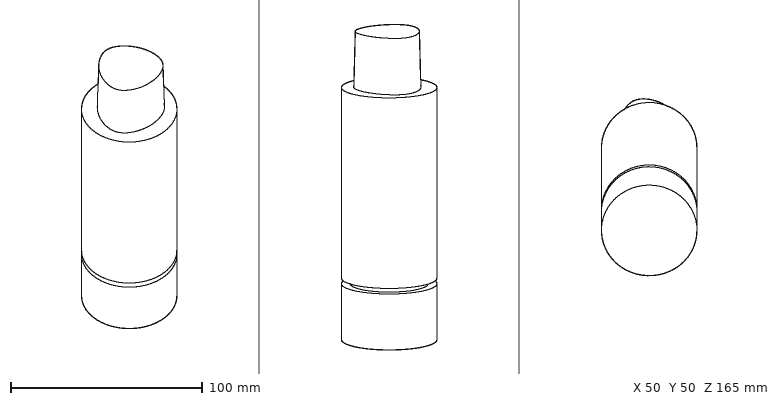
import cadquery as cq
import math

TOTAL_LENGTH = 165.0
BODY_DIAMETER = 50.0
CAP_HEIGHT = 30.0
GROOVE_WIDTH = 3.0
NECK_DIAMETER = 41.0

SHANK_LENGTH = 30.0
SHANK_BASE_WIDTH = 35.1
SHANK_TAPER = 1 / 20
SHANK_TOP_WIDTH = SHANK_BASE_WIDTH - SHANK_TAPER * SHANK_LENGTH
LOBE_HEIGHT = 1.0
LOBE_COUNT = 3
CURVE_POINTS = 48

BARREL_BOTTOM = CAP_HEIGHT + GROOVE_WIDTH
BARREL_TOP = TOTAL_LENGTH - SHANK_LENGTH


def lobed_wire(width, height):
    """Constant-width three-lobed curve at the given Z, with one lobe toward -Y."""
    points = []
    for index in range(CURVE_POINTS):
        lobe_angle = 2 * math.pi * index / CURVE_POINTS
        direction = lobe_angle - math.pi / 2
        reach = width / 2 + LOBE_HEIGHT * math.cos(LOBE_COUNT * lobe_angle)
        slope = -LOBE_COUNT * LOBE_HEIGHT * math.sin(LOBE_COUNT * lobe_angle)
        x = reach * math.cos(direction) - slope * math.sin(direction)
        y = reach * math.sin(direction) + slope * math.cos(direction)
        points.append(cq.Vector(x, y, height))
    return cq.Wire.assembleEdges([cq.Edge.makeSpline(points, periodic=True)])


def make_cap():
    """Plain round cap below the groove."""
    return cq.Workplane("XY").circle(BODY_DIAMETER / 2).extrude(CAP_HEIGHT)


def make_holder():
    """Round barrel with a lobed shank above it and a narrow neck resting on the cap."""
    neck = cq.Workplane("XY").workplane(offset=CAP_HEIGHT).circle(NECK_DIAMETER / 2).extrude(GROOVE_WIDTH)
    barrel = (
        cq.Workplane("XY")
        .workplane(offset=BARREL_BOTTOM)
        .circle(BODY_DIAMETER / 2)
        .extrude(BARREL_TOP - BARREL_BOTTOM)
    )
    shank = cq.Solid.makeLoft(
        [
            lobed_wire(SHANK_BASE_WIDTH, BARREL_TOP),
            lobed_wire(SHANK_TOP_WIDTH, TOTAL_LENGTH),
        ],
        True,
    )
    return neck.union(barrel).union(cq.Workplane(obj=shank))


cap = make_cap()
holder = make_holder()

result = cq.Compound.makeCompound([cap.val(), *holder.solids().vals()])